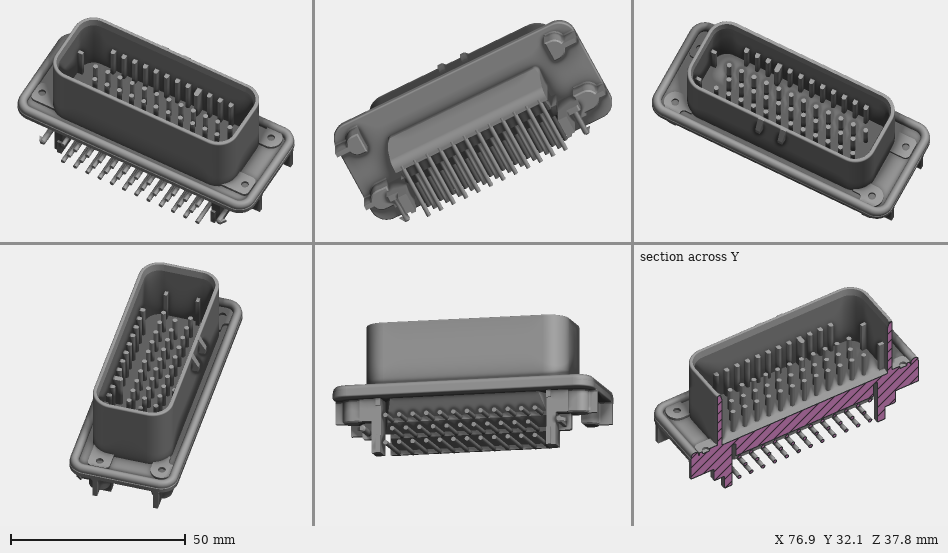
import cadquery as cq
import math

FLANGE_X = 76.9
FLANGE_Y = 32.1
FLANGE_CORNER_R = 5.0
FLANGE_T = 1.85
FLANGE_EDGE_R = 0.45
FLANGE_TOP_CHAMFER = 0.15

BEAD_W = 2.6
BEAD_INSET = 0.15
BEAD_TOP_Z = 3.6
BEAD_SINK = 0.3

SHELL_X = 59.45
SHELL_Y = 23.6
SHELL_R = 6.1
SHELL_TOP_Z = 22.05
SHELL_WALL = 1.6
RIM_ROUND_R = 0.45
LEAD_IN_W = 0.55
LEAD_IN_DEPTH = 2.0
FLOOR_Z = 2.0

KEY_COUNT = 12
KEY_PITCH = 3.5
KEY_W = 1.3
KEY_LEN = 1.6
LONG_KEY_INDEX = 8
LONG_KEY_W = 1.5
LONG_KEY_LEN = 2.9
KEY_TOP_Z = 11.85
END_KEY_W = 1.0
END_KEY_Y = 4.75

PIN_D = 1.4
PIN_PITCH = 4.0
PIN_TOP_Z = 9.5
TAIL_D = 1.3
TAIL_ROOT_Y = 2.0
TAIL_END_Y = -15.25
PIN_ROWS = ((12, -4.0, -5.73), (11, 0.0, -9.7), (12, 4.0, -13.72))

HOOK_X = 3.6
HOOK_W = 1.9
HOOK_TIP_W = 1.4
HOOK_Y = 13.83
HOOK_TIP_Z = 18.35
HOOK_BOTTOM_Z = 16.7

HOLE_D = 2.2
REAR_HOLE = (31.7, 10.75)
FRONT_HOLE = (33.2, -7.3)
BOSS_R = 3.1
BOSS_BOTTOM_Z = -6.4
BOSS_INNER_X = 30.0
BOSS_EDGE = 0.4
BOSS_RIB_W = 1.4
BOSS_RIB_FILLET_R = 0.65
BOSS_ROOT = 0.35
PAD_H = 0.9
PAD_R = 3.25
FRONT_PAD_X = 35.5
FRONT_PAD_R = 1.5
PAD_INNER_X = 26.0
REAR_PAD_STEP_X = 29.0
REAR_PAD_STEP_Y = 11.75
REAR_PAD_STEP_R = 1.2

CARRIER_HALF_X = 24.4
CARRIER_MID_HALF_X = 23.35
CARRIER_REAR_Y = 7.06
CARRIER_REAR_R = 1.65
CARRIER_HEEL_R = 2.9
CARRIER_HEEL_Y = 3.81
CARRIER_SLOPE_TOP_Z = -2.2
CARRIER_BOTTOM_Z = -14.28
STEP_YS = (-7.1, -3.42, 0.78)
STEP_FACE_H = 1.25
STEP_BOTTOM_ZS = (-6.37, -10.3, CARRIER_BOTTOM_Z)
OVERHANG_Y = -10.5
OVERHANG_HALF_X = 21.8
FRONT_STEP_HALF_X = 24.9

LEG_INNER_X = 24.4
LEG_OUTER_X = 27.1
LEG_REAR_Y = -5.67
LEG_FRONT_Y = -11.1
LEG_BOTTOM_Z = -15.75
LIP_W = 1.4
LIP_FRONT_Y = -11.8
UPPER_LIP_BOTTOM_Z = -2.05
LOWER_LIP_TOP_Z = -10.74
WEB_OUTER_X = 30.7
PEG_PLATE_FRONT_Y = -7.4
PEG_PLATE_BOTTOM_Z = -11.0
PEG_PLATE_CHAMFER = 0.4
PEG_X = 28.9
PEG_Z = -9.25
PEG_D = 1.9
PEG_FLAT_X = 29.5
PEG_TIP_CHAMFER = 0.4
BARB_OUTER_X = 30.6
BARB_H = 1.0
BARB_LEN = 1.65


def span_box(x0, x1, y0, y1, z0, z1):
    """Box between two opposite corners."""
    size_x, size_y, size_z = abs(x1 - x0), abs(y1 - y0), abs(z1 - z0)
    corner = (min(x0, x1), min(y0, y1), min(z0, z1))
    return cq.Workplane("XY").box(size_x, size_y, size_z, centered=False).translate(corner)


def rounded_block(size_x, size_y, radius, z0, z1):
    """Upright block with rounded vertical corners, centred on Z."""
    block = cq.Workplane("XY").workplane(offset=z0).rect(size_x, size_y).extrude(z1 - z0)
    return block.edges("|Z").fillet(radius)


def cylinder_z(x, y, diameter, z0, z1):
    return cq.Workplane("XY").workplane(offset=z0).center(x, y).circle(diameter / 2).extrude(z1 - z0)


def cylinder_y(x, z, diameter, y0, y1):
    """Cylinder along Y running from y0 toward -Y down to y1."""
    return cq.Workplane("XZ", origin=(x, y0, z)).circle(diameter / 2).extrude(y0 - y1)


def both_ends(shape):
    """The shape together with its mirror image across X = 0."""
    return shape.union(shape.mirror("YZ"))


def flange():
    plate = rounded_block(FLANGE_X, FLANGE_Y, FLANGE_CORNER_R, 0, FLANGE_T)
    plate = plate.faces("<Z").edges().fillet(FLANGE_EDGE_R)
    plate = plate.faces(">Z").edges().chamfer(FLANGE_TOP_CHAMFER)
    return plate.union(bead())


def bead():
    """Rim with a half-round top, swept around the rounded rectangle of its centre line."""
    inset = BEAD_INSET + BEAD_W / 2
    path_x = FLANGE_X - 2 * inset
    path_y = FLANGE_Y - 2 * inset
    path_r = FLANGE_CORNER_R - inset
    path = rounded_block(path_x, path_y, path_r, 0, FLANGE_T).faces("<Z").wires()
    half_w = BEAD_W / 2
    shoulder_z = BEAD_TOP_Z - half_w
    profile = (
        cq.Workplane("XZ", origin=(0, -path_y / 2, 0))
        .transformed(rotate=(0, 90, 0))
        .moveTo(-half_w, FLANGE_T - BEAD_SINK)
        .lineTo(half_w, FLANGE_T - BEAD_SINK)
        .lineTo(half_w, shoulder_z)
        .threePointArc((0, BEAD_TOP_Z), (-half_w, shoulder_z))
        .close()
    )
    return profile.sweep(path)


def shell():
    outer = rounded_block(SHELL_X, SHELL_Y, SHELL_R, 0, SHELL_TOP_Z)
    return outer.faces(">Z").edges().fillet(RIM_ROUND_R)


def cavity():
    size_x = SHELL_X - 2 * SHELL_WALL
    size_y = SHELL_Y - 2 * SHELL_WALL
    radius = SHELL_R - SHELL_WALL
    pocket = rounded_block(size_x, size_y, radius, FLOOR_Z, SHELL_TOP_Z)
    opening = rounded_block(
        size_x + 2 * LEAD_IN_W, size_y + 2 * LEAD_IN_W, radius + LEAD_IN_W, FLOOR_Z, SHELL_TOP_Z
    )
    lead_in_angle = math.degrees(math.atan(LEAD_IN_W / LEAD_IN_DEPTH))
    mouth = (
        opening.faces(">Z")
        .wires()
        .toPending()
        .extrude(-LEAD_IN_DEPTH, combine=False, taper=lead_in_angle)
    )
    return pocket.union(mouth)


def wall_key(x, width, length):
    """Key on the rear wall, with a round nose facing the middle of the cavity."""
    wall_y = SHELL_Y / 2 - SHELL_WALL / 2
    nose_y = SHELL_Y / 2 - SHELL_WALL - length + width / 2
    key = span_box(x - width / 2, x + width / 2, nose_y, wall_y, FLOOR_Z, KEY_TOP_Z)
    return key.union(cylinder_z(x, nose_y, width, FLOOR_Z, KEY_TOP_Z))


def keys():
    found = cq.Workplane("XY")
    for i in range(KEY_COUNT):
        x = (i - (KEY_COUNT - 1) / 2) * KEY_PITCH
        if i == LONG_KEY_INDEX:
            key = wall_key(x, LONG_KEY_W, LONG_KEY_LEN)
        else:
            key = wall_key(x, KEY_W, KEY_LEN)
        found = found.add(key).add(key.mirror("XZ"))
    wall_x = SHELL_X / 2 - SHELL_WALL
    for y in (-END_KEY_Y, END_KEY_Y):
        end_key = span_box(
            wall_x - KEY_LEN, wall_x + SHELL_WALL / 2,
            y - END_KEY_W / 2, y + END_KEY_W / 2,
            FLOOR_Z, KEY_TOP_Z,
        )
        found = found.add(end_key).add(end_key.mirror("YZ"))
    return found


def hook(x):
    root_y = SHELL_Y / 2 - SHELL_WALL / 3
    profile = [
        (root_y, HOOK_BOTTOM_Z),
        (HOOK_Y, HOOK_BOTTOM_Z),
        (HOOK_Y, HOOK_TIP_Z),
        (SHELL_Y / 2, SHELL_TOP_Z),
        (root_y, SHELL_TOP_Z),
    ]
    side = cq.Workplane("YZ", origin=(-HOOK_W / 2, 0, 0)).polyline(profile).close().extrude(HOOK_W)
    outline = (
        cq.Workplane("XY")
        .polyline([
            (-HOOK_W / 2, root_y),
            (HOOK_W / 2, root_y),
            (HOOK_TIP_W / 2, HOOK_Y),
            (-HOOK_TIP_W / 2, HOOK_Y),
        ])
        .close()
        .extrude(SHELL_TOP_Z)
    )
    return side.intersect(outline).translate((x, 0, 0))


def pads():
    top_z = FLANGE_T + PAD_H
    rear_x, rear_y = REAR_HOLE
    rear_edge_y = FLANGE_Y / 2 - BEAD_INSET - BEAD_W / 2
    disc = cylinder_z(rear_x, rear_y, 2 * PAD_R, FLANGE_T, top_z)
    low_y = rear_y - PAD_R
    arm = span_box(PAD_INNER_X, rear_x, low_y, REAR_PAD_STEP_Y, FLANGE_T, top_z)
    corner = span_box(REAR_PAD_STEP_X, rear_x, low_y, rear_edge_y, FLANGE_T, top_z)
    step_point = (REAR_PAD_STEP_X, REAR_PAD_STEP_Y, top_z)
    arm = arm.union(corner).edges("|Z")
    arm = arm.edges(cq.NearestToPointSelector(step_point)).fillet(REAR_PAD_STEP_R)
    front_y = FRONT_HOLE[1]
    front = span_box(PAD_INNER_X, FRONT_PAD_X, front_y - PAD_R, front_y + PAD_R, FLANGE_T, top_z)
    front = front.edges("|Z and >X").fillet(FRONT_PAD_R)
    return both_ends(disc.union(arm).union(front))


def pad_holes():
    """Blind holes as deep as the pads are high."""
    holes = cq.Workplane("XY")
    for x, y in (REAR_HOLE, FRONT_HOLE):
        hole = cylinder_z(x, y, HOLE_D, FLANGE_T, BEAD_TOP_Z)
        holes = holes.union(both_ends(hole))
    return holes


def boss_outline(x, y, offset):
    """U-shaped outline on Z = 0, grown outward by offset."""
    radius = BOSS_R + offset
    return (
        cq.Workplane("XY")
        .moveTo(BOSS_INNER_X, y - radius)
        .lineTo(x, y - radius)
        .threePointArc((x + radius, y), (x, y + radius))
        .lineTo(BOSS_INNER_X, y + radius)
        .close()
    )


def boss(x, y):
    """U-shaped boss with a filleted rib to the end of the flange and a flared root."""
    half_rib = BOSS_RIB_W / 2
    body = boss_outline(x, y, 0).extrude(BOSS_BOTTOM_Z)
    body = body.faces("<Z").edges().chamfer(BOSS_EDGE)
    rib = span_box(x, FLANGE_X / 2, y - half_rib, y + half_rib, BOSS_BOTTOM_Z, FLANGE_EDGE_R)
    joint_x = x + math.sqrt(BOSS_R ** 2 - half_rib ** 2)
    joined = body.union(rib)
    for side in (-half_rib, half_rib):
        joint = (joint_x, y + side, BOSS_BOTTOM_Z / 2)
        joined = joined.edges("|Z").edges(cq.NearestToPointSelector(joint)).fillet(BOSS_RIB_FILLET_R)
    flare = boss_outline(x, y, BOSS_ROOT).extrude(-BOSS_ROOT, taper=45)
    half_root = half_rib + BOSS_ROOT
    rib_flare = (
        cq.Workplane("YZ", origin=(x, y, 0))
        .polyline([
            (-half_root, FLANGE_EDGE_R),
            (-half_root, 0),
            (-half_rib, -BOSS_ROOT),
            (half_rib, -BOSS_ROOT),
            (half_root, 0),
            (half_root, FLANGE_EDGE_R),
        ])
        .close()
        .extrude(FLANGE_X / 2 - x)
    )
    return joined.union(flare).union(rib_flare)


def carrier():
    _, mid_y, rear_y = STEP_YS
    _, mid_z, rear_z = STEP_BOTTOM_ZS
    rear = (
        cq.Workplane("YZ", origin=(-CARRIER_HALF_X, 0, 0))
        .polyline([
            (rear_y, 0),
            (CARRIER_REAR_Y, 0),
            (CARRIER_REAR_Y, CARRIER_SLOPE_TOP_Z),
            (CARRIER_HEEL_Y, CARRIER_BOTTOM_Z),
            (rear_y, CARRIER_BOTTOM_Z),
        ])
        .close()
        .extrude(2 * CARRIER_HALF_X)
        .edges("<Z").edges(">Y")
        .fillet(CARRIER_HEEL_R)
    )
    corners = span_box(
        -CARRIER_HALF_X, CARRIER_HALF_X, STEP_YS[-1], CARRIER_REAR_Y, CARRIER_BOTTOM_Z, 0
    )
    rear = rear.intersect(corners.edges("|Z and >Y").fillet(CARRIER_REAR_R))
    middle = (
        cq.Workplane("YZ", origin=(-CARRIER_MID_HALF_X, 0, 0))
        .polyline([
            (rear_y, 0),
            (rear_y, rear_z + STEP_FACE_H),
            (mid_y, mid_z),
            (mid_y, 0),
        ])
        .close()
        .extrude(2 * CARRIER_MID_HALF_X)
    )
    return rear.union(middle).union(front_step())


def front_step():
    """Front step with its overhanging top; the ends draw in toward the front."""
    front_y, mid_y, _ = STEP_YS
    front_z, mid_z, _ = STEP_BOTTOM_ZS
    side = (
        cq.Workplane("YZ", origin=(-FRONT_STEP_HALF_X, 0, 0))
        .polyline([
            (mid_y, 0),
            (mid_y, mid_z + STEP_FACE_H),
            (front_y, front_z),
            (front_y, front_z + STEP_FACE_H),
            (OVERHANG_Y, 0),
        ])
        .close()
        .extrude(2 * FRONT_STEP_HALF_X)
    )
    draw_in = (CARRIER_MID_HALF_X - OVERHANG_HALF_X) / (front_y - OVERHANG_Y)
    taper_rear_y = OVERHANG_Y + (FRONT_STEP_HALF_X - OVERHANG_HALF_X) / draw_in
    plan = (
        cq.Workplane("XY")
        .polyline([
            (-OVERHANG_HALF_X, OVERHANG_Y),
            (OVERHANG_HALF_X, OVERHANG_Y),
            (FRONT_STEP_HALF_X, taper_rear_y),
            (FRONT_STEP_HALF_X, mid_y),
            (-FRONT_STEP_HALF_X, mid_y),
            (-FRONT_STEP_HALF_X, taper_rear_y),
        ])
        .close()
        .extrude(mid_z)
    )
    return side.intersect(plan)


def leg():
    post = span_box(LEG_INNER_X, LEG_OUTER_X, LEG_REAR_Y, LEG_FRONT_Y, LEG_BOTTOM_Z, FLANGE_T)
    web = span_box(LEG_INNER_X, WEB_OUTER_X, LEG_REAR_Y, LEG_FRONT_Y, BOSS_BOTTOM_Z, FLANGE_T)
    plate = span_box(
        LEG_INNER_X, WEB_OUTER_X, LEG_REAR_Y, PEG_PLATE_FRONT_Y, PEG_PLATE_BOTTOM_Z, 0
    )
    plate = plate.edges("|Y and >X and <Z").chamfer(PEG_PLATE_CHAMFER)
    leg_body = post.union(web).union(plate)
    for z0, z1 in ((UPPER_LIP_BOTTOM_Z, FLANGE_T), (LEG_BOTTOM_Z, LOWER_LIP_TOP_Z)):
        lip = span_box(LEG_INNER_X, LEG_INNER_X + LIP_W, LEG_FRONT_Y, LIP_FRONT_Y, z0, z1)
        leg_body = leg_body.union(lip)
    return leg_body.union(peg())


def peg():
    """Locating peg flattened on its outer side, with a snap barb at the tip."""
    shank = cylinder_y(PEG_X, PEG_Z, PEG_D, LEG_REAR_Y, TAIL_END_Y)
    shank = shank.faces("<Y").chamfer(PEG_TIP_CHAMFER)
    beyond_flat = span_box(
        PEG_FLAT_X, PEG_X + PEG_D, PEG_PLATE_FRONT_Y, TAIL_END_Y, PEG_Z - PEG_D, PEG_Z + PEG_D
    )
    barb = (
        cq.Workplane("XY", origin=(0, 0, PEG_Z - BARB_H / 2))
        .polyline([
            (PEG_X, TAIL_END_Y + BARB_LEN),
            (BARB_OUTER_X, TAIL_END_Y + BARB_LEN),
            (PEG_FLAT_X, TAIL_END_Y),
            (PEG_X, TAIL_END_Y),
        ])
        .close()
        .extrude(BARB_H)
    )
    return shank.cut(beyond_flat).union(barb)


def contacts():
    pins = cq.Workplane("XY")
    for count, mating_y, tail_z in PIN_ROWS:
        for i in range(count):
            x = (i - (count - 1) / 2) * PIN_PITCH
            pins = pins.add(cylinder_z(x, mating_y, PIN_D, 0, PIN_TOP_Z))
            pins = pins.add(cylinder_y(x, tail_z, TAIL_D, TAIL_ROOT_Y, TAIL_END_Y))
    return pins


result = flange().union(pads()).union(shell())
for hole_x, hole_y in (REAR_HOLE, FRONT_HOLE):
    result = result.union(both_ends(boss(hole_x, hole_y)))
result = result.union(carrier()).union(both_ends(leg()))
result = result.cut(cavity())
result = result.union(hook(-HOOK_X)).union(hook(HOOK_X))
result = result.union(keys()).union(contacts())
result = result.cut(pad_holes())